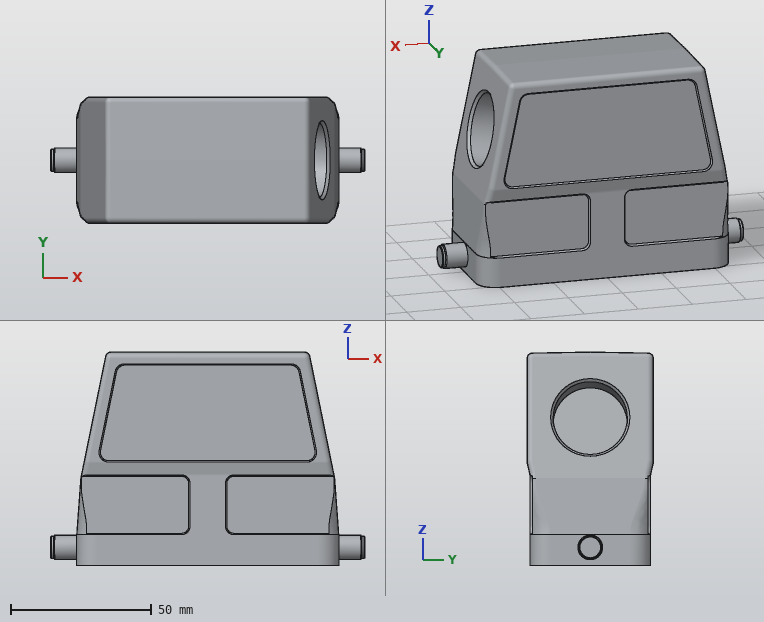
import cadquery as cq
import math

join_tolerance = 0.1

height = 76.0
upper_width = 45.0
pin_span = 111.8

rim_length = 93.5
rim_width = 43.0
rim_height = 11.0
rim_corner_radius = 7.2

flank_foot_length = 93.3
flank_head_length = 90.4
flank_head_height = 31.0
flank_section_count = 5

end_slope = 11.5
shoulder_low = 32.2
shoulder_high = 36.7
roof_edge_drop = 0.4
edge_radius = 2.0
bend_radius = 3.0

lower_recess_depth = 1.0
lower_recess_gap = 12.6
lower_recess_draft = 25.0
lower_recess_corner_radius = 3.0
panel_depth = 0.6
panel_low = 36.8
panel_high = 71.8
panel_end_margin = 4.5
panel_draft = 40.0
panel_corner_radius = 3.5

entry_diameter = 26.4
entry_mouth_diameter = 28.2
entry_chamfer_depth = 1.1
entry_depth = 12.0
entry_height = 52.7

pin_diameter = 8.8
pin_height = 6.45
pin_head_length = 1.05
pin_head_diameter = 8.0
pin_head_chamfer = 0.3
pin_neck_length = 0.35
pin_neck_diameter = 5.4
pin_root = 5.0


def hood_half_length(z):
    """Half length of the upper hood at height z."""
    return flank_head_length / 2 - (z - flank_head_height) * math.tan(math.radians(end_slope))


def smooth_step(t):
    """Ease from 0 to 1 with level ends."""
    return t * t * (3 - 2 * t)


def make_upper_hood():
    """Sloped-end hood with side shoulders and a ridged roof."""
    lower_half = rim_width / 2
    upper_half = upper_width / 2
    roof_edge = height - roof_edge_drop
    cross_section = (
        cq.Workplane("YZ")
        .moveTo(-lower_half, flank_head_height)
        .lineTo(-lower_half, shoulder_low)
        .lineTo(-upper_half, shoulder_high)
        .lineTo(-upper_half, roof_edge)
        .lineTo(0, height)
        .lineTo(upper_half, roof_edge)
        .lineTo(upper_half, shoulder_high)
        .lineTo(lower_half, shoulder_low)
        .lineTo(lower_half, flank_head_height)
        .close()
        .extrude(flank_head_length / 2, both=True)
    )
    shoulder_edges = cq.selectors.BoxSelector(
        (-join_tolerance, -upper_width, shoulder_low - join_tolerance),
        (join_tolerance, upper_width, shoulder_high + join_tolerance),
    )
    cross_section = cross_section.edges("|X").edges(shoulder_edges).fillet(bend_radius)
    base_half = hood_half_length(flank_head_height)
    top_half = hood_half_length(height)
    side_outline = (
        cq.Workplane("XZ")
        .polyline(
            [
                (-base_half, flank_head_height),
                (base_half, flank_head_height),
                (top_half, height),
                (-top_half, height),
            ]
        )
        .close()
        .extrude(upper_width, both=True)
    )
    hood = cross_section.intersect(side_outline)
    return round_hood_edges(hood)


def round_hood_edges(hood):
    """Round the hood around both ends and along the two roof sides."""
    end_edges = hood.faces("<X or >X").edges().vals()
    corner_edges = [edge for edge in end_edges if edge.Center().z > flank_head_height + join_tolerance]
    roof_side_box = cq.selectors.BoxSelector(
        (-join_tolerance, -upper_width, height - roof_edge_drop - join_tolerance),
        (join_tolerance, upper_width, height - join_tolerance),
    )
    roof_sides = hood.edges("|X").edges(roof_side_box).vals()
    return hood.newObject(corner_edges + roof_sides).fillet(edge_radius)


def make_flank():
    """Tapered zone whose corner radius shrinks smoothly from the rim up to the hood."""
    sections = []
    for index in range(flank_section_count):
        t = index / (flank_section_count - 1)
        blend = smooth_step(t)
        z = rim_height + t * (flank_head_height - rim_height)
        length = flank_foot_length + t * (flank_head_length - flank_foot_length)
        radius = rim_corner_radius + blend * (edge_radius - rim_corner_radius)
        section = cq.Sketch().rect(length, rim_width).vertices().fillet(radius)
        sections.append(section.moved(cq.Location(cq.Vector(0, 0, z))))
    return cq.Workplane("XY").placeSketch(*sections).loft()


def make_rim():
    """Straight base rim with large corner radii."""
    return (
        cq.Workplane("XY")
        .rect(rim_length, rim_width)
        .extrude(rim_height)
        .edges("|Z")
        .fillet(rim_corner_radius)
    )


def wall_recess(outline, corner_radius, half_width, depth, draft):
    """Pair of drafted cutters, one for each side wall, from an outline of (x, z) points."""
    mouth = cq.Sketch().polygon(outline + outline[:1]).vertices().fillet(corner_radius)
    cutter = (
        cq.Workplane("XZ", origin=(0, half_width, 0))
        .placeSketch(mouth)
        .extrude(depth, taper=draft)
    )
    return cutter.union(cutter.mirror("XZ"))


def cut_lower_recesses(body):
    """Recesses in both side walls, open toward the ends of the hood."""
    inner_x = lower_recess_gap / 2
    outline = [
        (inner_x, rim_height),
        (rim_length, rim_height),
        (rim_length, shoulder_low),
        (inner_x, shoulder_low),
    ]
    cutter = wall_recess(
        outline, lower_recess_corner_radius, rim_width / 2, lower_recess_depth, lower_recess_draft
    )
    return body.cut(cutter).cut(cutter.mirror("YZ"))


def cut_panel_recesses(body):
    """Shallow trapezoidal recess in each side wall of the upper hood."""
    low_half = hood_half_length(panel_low) - panel_end_margin
    high_half = hood_half_length(panel_high) - panel_end_margin
    outline = [
        (-low_half, panel_low),
        (low_half, panel_low),
        (high_half, panel_high),
        (-high_half, panel_high),
    ]
    return body.cut(wall_recess(outline, panel_corner_radius, upper_width / 2, panel_depth, panel_draft))


def cut_cable_entry(body):
    """Round cable entry, square to the sloping +X end face, with a chamfered mouth."""
    inward = cq.Vector(-math.cos(math.radians(end_slope)), 0, -math.sin(math.radians(end_slope)))
    mouth = cq.Vector(hood_half_length(entry_height), 0, entry_height)
    bore = cq.Solid.makeCylinder(entry_diameter / 2, entry_depth, mouth, inward)
    chamfer = cq.Solid.makeCone(
        entry_mouth_diameter / 2, entry_diameter / 2, entry_chamfer_depth, mouth, inward
    )
    return body.cut(cq.Workplane(bore)).cut(cq.Workplane(chamfer))


def make_pin():
    """Locking pin on the +X end: shank, narrow neck and chamfered head."""
    tip_x = pin_span / 2
    head_x = tip_x - pin_head_length
    shank_x = head_x - pin_neck_length
    root_x = rim_length / 2 - pin_root
    shank_r = pin_diameter / 2
    neck_r = pin_neck_diameter / 2
    head_r = pin_head_diameter / 2
    return (
        cq.Workplane("XY")
        .moveTo(root_x, 0)
        .lineTo(root_x, shank_r)
        .lineTo(shank_x, shank_r)
        .lineTo(shank_x, neck_r)
        .lineTo(head_x, neck_r)
        .lineTo(head_x, head_r)
        .lineTo(tip_x - pin_head_chamfer, head_r)
        .lineTo(tip_x, head_r - pin_head_chamfer)
        .lineTo(tip_x, 0)
        .close()
        .revolve(360, (0, 0, 0), (1, 0, 0))
        .translate((0, 0, pin_height))
    )


body = make_rim().union(make_flank()).union(make_upper_hood())
body = cut_lower_recesses(body)
body = cut_panel_recesses(body)
body = cut_cable_entry(body)
pin = make_pin()
result = body.union(pin).union(pin.mirror("YZ"))